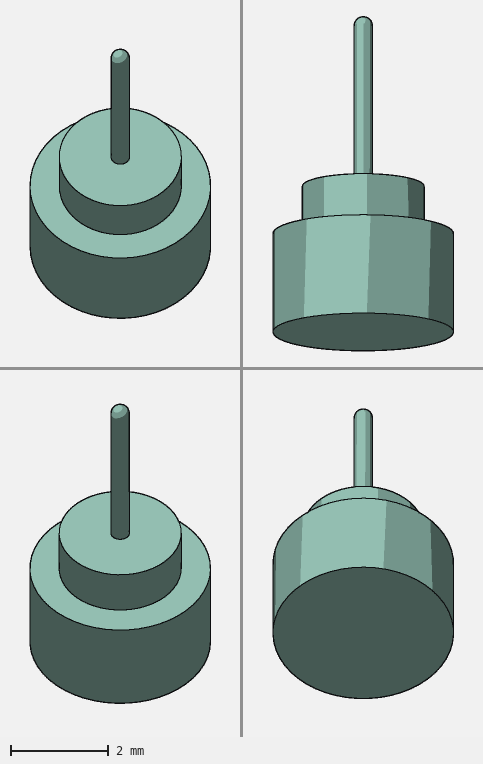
import cadquery as cq
import math

body_diameter = 3.7
body_height = 2.06
collar_diameter = 2.5
collar_height = 0.99
insert_diameter = 1.95
pin_diameter = 0.38
total_height = 6.6

body_radius = body_diameter / 2
collar_radius = collar_diameter / 2
insert_radius = insert_diameter / 2
pin_radius = pin_diameter / 2

collar_top = body_height + collar_height
dome_base = total_height - pin_radius
dome_mid_offset = pin_radius * math.sqrt(0.5)


def half_profile():
    """Closed half section on the -X side of the axis; local Y is the part's Z."""
    return (
        cq.Workplane("XZ")
        .moveTo(0, 0)
        .lineTo(-body_radius, 0)
        .lineTo(-body_radius, body_height)
        .lineTo(-collar_radius, body_height)
        .lineTo(-collar_radius, collar_top)
        .lineTo(-insert_radius, collar_top)
        .lineTo(-pin_radius, collar_top)
        .lineTo(-pin_radius, dome_base)
        .threePointArc((-dome_mid_offset, dome_base + dome_mid_offset), (0, total_height))
        .close()
    )


result = half_profile().revolve(360, (0, 0), (0, 1), clean=False)